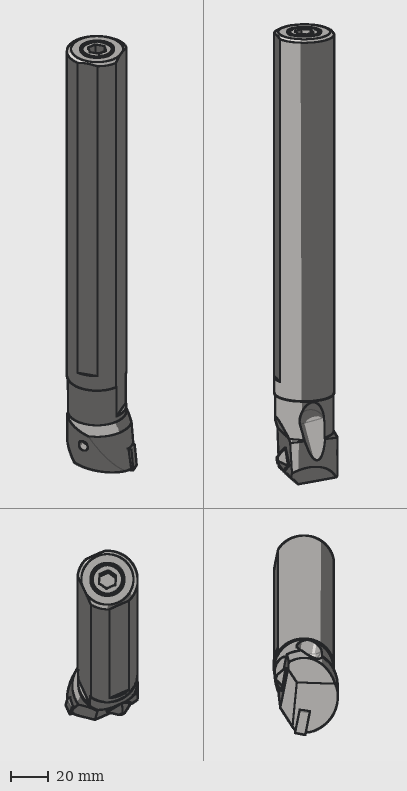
import cadquery as cq
import math

LENGTH = 250.0
SHANK_RADIUS = 16.0
TOP_CHAMFER_WIDTH = 2.2
TOP_CHAMFER_HEIGHT = 1.2

NARROW_FLAT_OFFSET = 15.0
NARROW_FLAT_BOTTOM = 60.0
WIDE_FLAT_OFFSET = 13.5
WIDE_FLAT_BOTTOM = 33.0

PLUG_GROOVE_OUTER_RADIUS = 9.0
PLUG_GROOVE_INNER_RADIUS = 7.8
PLUG_GROOVE_DEPTH = 0.8
SOCKET_CORNER_DIAMETER = 10.0
SOCKET_DEPTH = 5.0

NECK_RADIUS = 15.5
NECK_TOP = 50.8

HEAD_RADIUS = 18.8
HEAD_CENTER = (3.0, 0.2)
HEAD_SHOULDER_Z = 24.5
HEAD_SHOULDER_RADIUS = 18.5
HEAD_CONE_TOP_Z = 29.8
HEAD_BOTTOM_RADIUS = 21.5

CHIP_FACE_Y = 10.0
CHIP_FACE_TOP_Y = 11.5
CHIP_FACE_TOP_Z = HEAD_CONE_TOP_Z
CHIP_RAMP_TOP_Z = 39.0
SIDE_BEVEL_START = (12.2, 10.0)
SIDE_BEVEL_END = (18.8, 2.5)
END_BEVEL_START = (2.2, 0.0)
END_BEVEL_END = (14.2, 11.5)
BACK_BEVEL_LOW = (-7.2, 5.0)
BACK_BEVEL_HIGH = (-15.8, 14.8)
END_FACE_HEIGHT = 2.5
END_FACE_FALL_X = 6.0
END_FACE_FALL_Y = 7.0

CLAMP_CENTER = (-1.5, 16.0)
CLAMP_REACH = 10.0
CLAMP_WIDTH = 10.0
CLAMP_TOP_Y = 15.2
CLAMP_BASE_Y = 7.5
CLAMP_BEVEL = 3.8
CLAMP_TILT = 31.0
SCREW_HOLE_CENTER = (-1.5, 17.8)
SCREW_HOLE_RADIUS = 2.8
SCREW_HOLE_DEPTH = 7.5
SCREW_SOCKET_CORNER_DIAMETER = 3.5
SCREW_SOCKET_DEPTH = 2.0

OUTLET_RADIUS = 6.8
OUTLET_CENTER = (-14.5, 0.0, 39.8)
OUTLET_TOP = (-27.0, 0.0, 52.2)
CHANNEL_END = (-25.8, -5.5, 10.0)

INSERT_REACH = 22.0
INSERT_EDGE = 13.0
INSERT_TIP_ANGLE = 80.0
INSERT_LEAD = 5.0
INSERT_CORNER_RADIUS = 0.8
INSERT_RAKE_Y = 0.5
INSERT_THICKNESS = 5.5

BEYOND = 50.0


def rod(start, end, radius):
    """A cylinder between two points."""
    base = cq.Vector(*start)
    axis = cq.Vector(*end) - base
    return cq.Workplane(cq.Solid.makeCylinder(radius, axis.Length, base, axis))


def turned(points):
    """A solid turned about Z from (radius, z) points."""
    return cq.Workplane("XZ").polyline(points).close().revolve(360, (0, 0), (0, 1))


def prism_along_x(points):
    """A long prism along X from (y, z) points."""
    return cq.Workplane("YZ").polyline(points).close().extrude(BEYOND, both=True)


def prism_along_y(points):
    """A long prism along Y from (x, z) points."""
    return cq.Workplane("XZ").polyline(points).close().extrude(BEYOND, both=True)


def make_shank():
    edge_radius = SHANK_RADIUS - TOP_CHAMFER_WIDTH
    shank = turned([
        (0, HEAD_SHOULDER_Z),
        (NECK_RADIUS, HEAD_SHOULDER_Z),
        (NECK_RADIUS, NECK_TOP),
        (SHANK_RADIUS, NECK_TOP + SHANK_RADIUS - NECK_RADIUS),
        (SHANK_RADIUS, LENGTH - TOP_CHAMFER_HEIGHT),
        (edge_radius, LENGTH),
        (0, LENGTH),
    ])
    for side in (-1, 1):
        flat_cutter = cq.Workplane("XY").box(
            BEYOND, BEYOND, LENGTH, centered=(True, True, False)
        ).translate((0, side * (NARROW_FLAT_OFFSET + BEYOND / 2), NARROW_FLAT_BOTTOM))
        shank = shank.cut(flat_cutter)
    wide_flat_cutter = cq.Workplane("XY").box(
        BEYOND, BEYOND, LENGTH, centered=(False, True, False)
    ).translate((WIDE_FLAT_OFFSET, 0, WIDE_FLAT_BOTTOM))
    return shank.cut(wide_flat_cutter)


def cut_plug(shank):
    middle_radius = (PLUG_GROOVE_INNER_RADIUS + PLUG_GROOVE_OUTER_RADIUS) / 2
    groove = turned([
        (PLUG_GROOVE_INNER_RADIUS, LENGTH),
        (PLUG_GROOVE_OUTER_RADIUS, LENGTH),
        (middle_radius, LENGTH - PLUG_GROOVE_DEPTH),
    ])
    socket = (
        cq.Workplane("XY", origin=(0, 0, LENGTH))
        .polygon(6, SOCKET_CORNER_DIAMETER)
        .extrude(-SOCKET_DEPTH)
    )
    return shank.cut(groove).cut(socket)


def make_head_blank():
    blank = (
        cq.Workplane("XY")
        .center(*HEAD_CENTER)
        .circle(HEAD_RADIUS)
        .extrude(HEAD_CONE_TOP_Z)
    )
    envelope = turned([
        (0, 0),
        (HEAD_BOTTOM_RADIUS, 0),
        (HEAD_SHOULDER_RADIUS, HEAD_SHOULDER_Z),
        (NECK_RADIUS, HEAD_CONE_TOP_Z),
        (0, HEAD_CONE_TOP_Z),
    ])
    return blank.intersect(envelope)


def extended(start, end):
    """A point on the line from start through end, well past end."""
    run = end[0] - start[0]
    rise = end[1] - start[1]
    stretch = BEYOND / math.hypot(run, rise)
    return (end[0] + run * stretch, end[1] + rise * stretch)


def cut_chip_gullet(bar):
    """The chip face with its ramp up to the neck."""
    gullet = prism_along_x([
        (CHIP_FACE_Y, 0),
        (CHIP_FACE_TOP_Y, CHIP_FACE_TOP_Z),
        (NECK_RADIUS, CHIP_RAMP_TOP_Z),
        (BEYOND, CHIP_RAMP_TOP_Z),
        (BEYOND, 0),
    ])
    return bar.cut(gullet)


def cut_head_bevels(bar):
    side_bevel = (
        cq.Workplane("XY")
        .polyline([
            extended(SIDE_BEVEL_END, SIDE_BEVEL_START),
            extended(SIDE_BEVEL_START, SIDE_BEVEL_END),
            (BEYOND, BEYOND),
        ])
        .close()
        .extrude(CHIP_FACE_TOP_Z)
    )
    end_bevel = prism_along_x([
        extended(END_BEVEL_END, END_BEVEL_START),
        extended(END_BEVEL_START, END_BEVEL_END),
        (BEYOND, -BEYOND),
    ])
    back_bevel = prism_along_y([
        extended(BACK_BEVEL_HIGH, BACK_BEVEL_LOW),
        extended(BACK_BEVEL_LOW, BACK_BEVEL_HIGH),
        (-BEYOND, -BEYOND),
    ])
    end_face = (
        cq.Workplane("XY")
        .box(2 * BEYOND, 2 * BEYOND, BEYOND)
        .translate((0, 0, -BEYOND / 2))
        .rotate((0, 0, 0), (0, 1, 0), END_FACE_FALL_X)
        .rotate((0, 0, 0), (1, 0, 0), -END_FACE_FALL_Y)
        .translate((0, 0, END_FACE_HEIGHT))
    )
    return bar.cut(side_bevel).cut(end_bevel).cut(back_bevel).cut(end_face)


def make_clamp():
    """A bevelled block that lies on the chip face and points at the insert."""
    height = CLAMP_TOP_Y - CLAMP_BASE_Y
    center_x, center_z = CLAMP_CENTER
    return (
        cq.Workplane("XY")
        .box(CLAMP_REACH, height, CLAMP_WIDTH)
        .faces(">Y")
        .chamfer(CLAMP_BEVEL)
        .rotate((0, 0, 0), (0, 1, 0), CLAMP_TILT)
        .translate((center_x, CLAMP_BASE_Y + height / 2, center_z))
    )


def cut_screw_hole(bar):
    """The screw hole on the -Y side with a hexagon socket in its floor."""
    center_x, center_z = SCREW_HOLE_CENTER
    bottom_y = HEAD_CENTER[1] - HEAD_RADIUS + SCREW_HOLE_DEPTH
    hole = rod((center_x, -BEYOND, center_z), (center_x, bottom_y, center_z), SCREW_HOLE_RADIUS)
    socket = (
        cq.Workplane("XZ", origin=(center_x, bottom_y, center_z))
        .polygon(6, SCREW_SOCKET_CORNER_DIAMETER)
        .extrude(-SCREW_SOCKET_DEPTH)
    )
    return bar.cut(hole).cut(socket)


def cut_coolant_outlet(bar):
    """A round-bottomed recess that opens upward and runs out down the head as a channel."""
    ball = cq.Workplane("XY").sphere(OUTLET_RADIUS).translate(OUTLET_CENTER)
    opening = rod(OUTLET_CENTER, OUTLET_TOP, OUTLET_RADIUS)
    channel = rod(OUTLET_CENTER, CHANNEL_END, OUTLET_RADIUS)
    return bar.cut(ball).cut(opening).cut(channel)


def make_insert():
    """A rhombic plate whose tip points down toward +X, with equal leads on both edges."""
    half_angle = math.radians(INSERT_TIP_ANGLE / 2)
    corner_offset = INSERT_CORNER_RADIUS / math.sin(half_angle) * math.cos(math.radians(45))
    tip_x = INSERT_REACH - INSERT_CORNER_RADIUS + corner_offset
    tip_z = INSERT_CORNER_RADIUS - corner_offset
    end_angle = math.radians(180 - INSERT_LEAD)
    side_angle = math.radians(180 - INSERT_LEAD - INSERT_TIP_ANGLE)
    end_step = (INSERT_EDGE * math.cos(end_angle), INSERT_EDGE * math.sin(end_angle))
    side_step = (INSERT_EDGE * math.cos(side_angle), INSERT_EDGE * math.sin(side_angle))
    return (
        cq.Workplane("XZ", origin=(0, INSERT_RAKE_Y, 0))
        .polyline([
            (tip_x, tip_z),
            (tip_x + side_step[0], tip_z + side_step[1]),
            (tip_x + side_step[0] + end_step[0], tip_z + side_step[1] + end_step[1]),
            (tip_x + end_step[0], tip_z + end_step[1]),
        ])
        .close()
        .extrude(INSERT_THICKNESS)
        .edges("|Y")
        .fillet(INSERT_CORNER_RADIUS)
    )


def make_bar(insert):
    bar = cut_plug(make_shank()).union(make_head_blank())
    bar = cut_chip_gullet(bar)
    bar = cut_head_bevels(bar)
    bar = bar.union(make_clamp())
    bar = cut_screw_hole(bar)
    bar = cut_coolant_outlet(bar)
    return bar.cut(insert)


insert = make_insert()
bar = make_bar(insert)
result = cq.Compound.makeCompound([bar.val(), insert.val()])